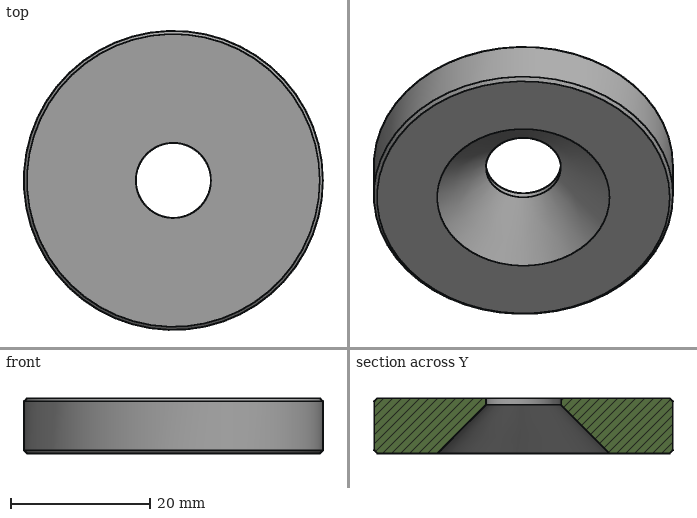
import cadquery as cq

outer_diameter = 43.0
thickness = 8.0
edge_chamfer = 0.47
hole_diameter = 10.75
land_height = 1.0

outer_radius = outer_diameter / 2
hole_radius = hole_diameter / 2
cone_height = thickness - land_height
cone_radius = hole_radius + cone_height

disc = cq.Workplane("XY").circle(outer_radius).extrude(thickness)
disc = disc.faces("<Z or >Z").edges().chamfer(edge_chamfer)

hole_profile = [
    (0, 0),
    (cone_radius, 0),
    (hole_radius, cone_height),
    (hole_radius, thickness),
    (0, thickness),
]
hole = cq.Workplane("XZ").polyline(hole_profile).close().revolve(360, (0, 0, 0), (0, 1, 0))

result = disc.cut(hole)